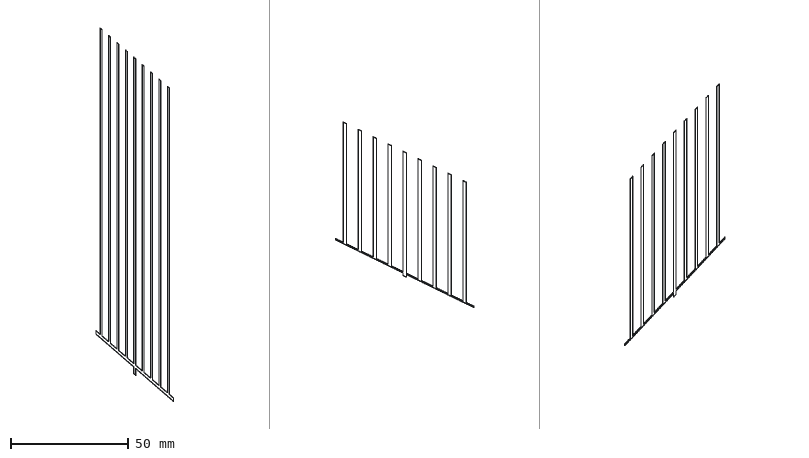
import cadquery as cq

overall_width = 66.5
overall_height = 155.9
sheet_thickness = 0.04

tooth_count = 9
strip_width = 1.7
stem_length = 3.3

tooth_pitch = (overall_width - strip_width) / tooth_count


def strip(width, bottom, top, center_x=0.0):
    """Flat upright strip of the sheet, centred on Y = 0."""
    height = top - bottom
    return (
        cq.Workplane("XY")
        .box(width, sheet_thickness, height, centered=(True, True, False))
        .translate((center_x, 0, bottom))
    )


bar_top = stem_length + strip_width
result = strip(overall_width, stem_length, bar_top)
result = result.union(strip(strip_width, 0, bar_top))

for index in range(tooth_count):
    tooth_x = (index - (tooth_count - 1) / 2) * tooth_pitch
    result = result.union(strip(strip_width, stem_length, overall_height, tooth_x))

result = result.clean()